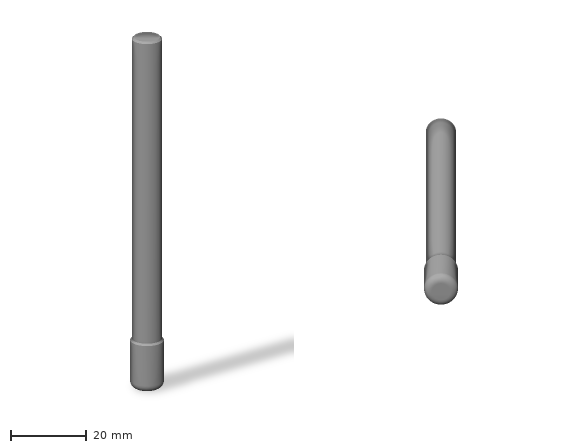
import cadquery as cq
import math

total_length = 100.0

cap_diameter = 9.0
cap_length = 14.0
tip_fillet = 2.0

rod_diameter = 8.0
rod_end_chamfer = 0.5

cap_radius = cap_diameter / 2
rod_radius = rod_diameter / 2
shoulder_chamfer = cap_radius - rod_radius


def revolve_about_z(half_profile):
    """Turn a closed profile in the YZ plane a full round about the Z axis."""
    return half_profile.revolve(360, (0, 0, 0), (0, 1, 0))


def make_cap():
    """Solid foot, profiled on the -Y side from the tip centre outwards."""
    arc_inset = tip_fillet * (1 - math.sin(math.radians(45)))
    profile = (
        cq.Workplane("YZ")
        .moveTo(0, 0)
        .lineTo(-(cap_radius - tip_fillet), 0)
        .threePointArc((-(cap_radius - arc_inset), arc_inset), (-cap_radius, tip_fillet))
        .lineTo(-cap_radius, cap_length - shoulder_chamfer)
        .lineTo(-rod_radius, cap_length)
        .lineTo(0, cap_length)
        .close()
    )
    return revolve_about_z(profile)


def make_rod():
    """Bar from the cap's top face to the chamfered upper end."""
    profile = (
        cq.Workplane("YZ")
        .moveTo(0, cap_length)
        .lineTo(-rod_radius, cap_length)
        .lineTo(-rod_radius, total_length - rod_end_chamfer)
        .lineTo(-(rod_radius - rod_end_chamfer), total_length)
        .lineTo(0, total_length)
        .close()
    )
    return revolve_about_z(profile)


cap = make_cap()
rod = make_rod()

result = cq.Compound.makeCompound([cap.val(), rod.val()])